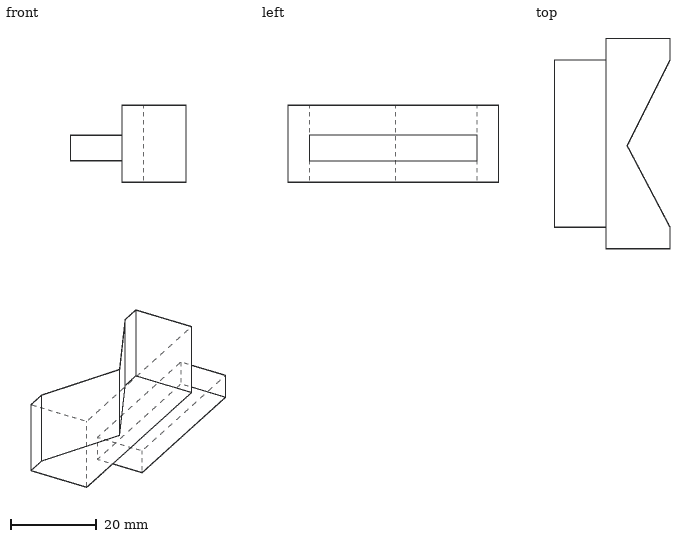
import cadquery as cq

body_depth = 15.0
body_length = 49.0
body_height = 18.0
end_margin = 5.0
notch_depth = 10.0
notch_apex_y = 24.0

tongue_reach = 12.0
tongue_length = body_length - 2 * end_margin
tongue_height = 6.0
tongue_bottom = 5.0


def make_body():
    outline = [
        (0, 0),
        (body_depth, 0),
        (body_depth, end_margin),
        (body_depth - notch_depth, notch_apex_y),
        (body_depth, body_length - end_margin),
        (body_depth, body_length),
        (0, body_length),
    ]
    return cq.Workplane("XY").polyline(outline).close().extrude(body_height)


def make_tongue():
    tongue = cq.Workplane("XY").box(tongue_reach, tongue_length, tongue_height, centered=False)
    return tongue.translate((-tongue_reach, end_margin, tongue_bottom))


result = make_body().union(make_tongue())